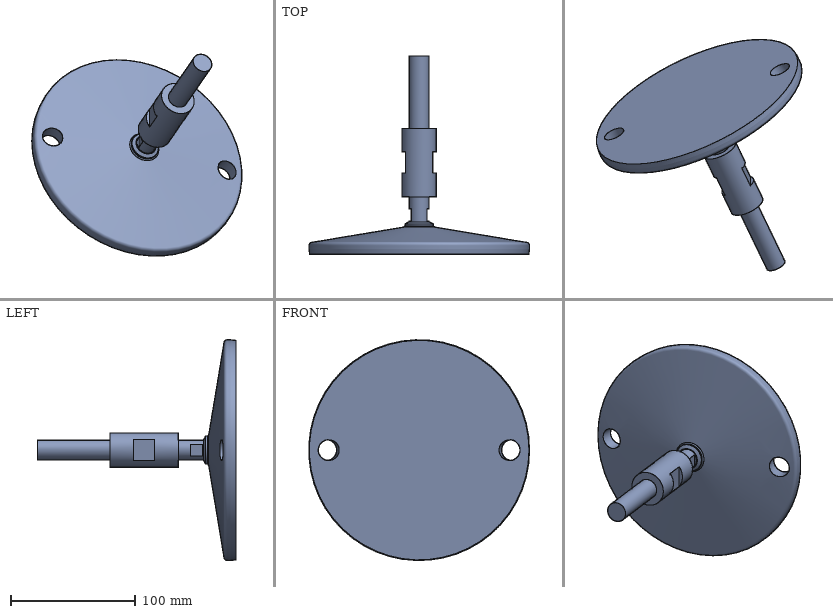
import cadquery as cq
import math

TOTAL_LENGTH = 160.0

PLATE_RADIUS = 89.0
UNDERSIDE_RADIUS = 88.5
TAPER_TOP = 4.3
RIM_TOP = 7.1
RIM_FILLET = 2.7
CONE_TOP_RADIUS = 12.5
CONE_TOP = 22.0

COLLAR_RADIUS = 11.4
COLLAR_BASE = 23.0
COLLAR_SHOULDER = 24.5
COLLAR_TOP = 26.2
COLLAR_TOP_RADIUS = 8.5

HOLE_DIAMETER = 16.5
HOLE_OFFSET = 72.8
HOLE_OVERRUN = 17.8

STEM_DIAMETER = 16.0
SLEEVE_DIAMETER = 28.0
SLEEVE_START = 46.5
SLEEVE_END = 101.6
SLEEVE_FLAT_START = 65.7
SLEEVE_FLAT_END = 82.6
SLEEVE_ACROSS_FLATS = 22.2
STEM_FLAT_START = 27.0
STEM_FLAT_END = 36.7
STEM_ACROSS_FLATS = 13.0

fillet_centre_radius = PLATE_RADIUS - RIM_FILLET
cone_run = fillet_centre_radius - CONE_TOP_RADIUS
cone_rise = CONE_TOP - RIM_TOP
CONE_ANGLE = math.atan2(cone_rise, cone_run) - math.asin(RIM_FILLET / math.hypot(cone_run, cone_rise))


def on_rim_fillet(angle):
    """Point of the rim fillet, as (radius, height), at an angle from the radial direction."""
    return (
        fillet_centre_radius + RIM_FILLET * math.cos(angle),
        RIM_TOP + RIM_FILLET * math.sin(angle),
    )


def cylinder(diameter, start, end):
    """Solid cylinder on the Y axis between two heights."""
    base = cq.Workplane("XZ", origin=(0, start, 0))
    return base.circle(diameter / 2).extrude(start - end)


def cut_two_flats(body, diameter, across_flats, start, end):
    """Cut a pair of opposite flats, facing -X and +X, into a round body."""
    length = end - start
    middle = (start + end) / 2
    tool = cq.Workplane("XY").box(diameter, length, 2 * diameter)
    for side in (-1, 1):
        body = body.cut(tool.translate((side * (across_flats + diameter) / 2, middle, 0)))
    return body


def fixing_hole(side):
    """Cutter for one fixing hole; it leans outward with the normal of the cone."""
    direction = cq.Vector(side * math.sin(CONE_ANGLE), math.cos(CONE_ANGLE), 0)
    start = cq.Vector(side * HOLE_OFFSET, 0, 0) - direction * HOLE_OVERRUN
    length = CONE_TOP + 2 * HOLE_OVERRUN
    return cq.Solid.makeCylinder(HOLE_DIAMETER / 2, length, start, direction)


def make_foot():
    """Conical plate with its collar and two fixing holes."""
    fillet_end_angle = math.pi / 2 - CONE_ANGLE
    foot = (
        cq.Workplane("XY")
        .lineTo(UNDERSIDE_RADIUS, 0)
        .lineTo(PLATE_RADIUS, TAPER_TOP)
        .lineTo(PLATE_RADIUS, RIM_TOP)
        .threePointArc(on_rim_fillet(fillet_end_angle / 2), on_rim_fillet(fillet_end_angle))
        .lineTo(CONE_TOP_RADIUS, CONE_TOP)
        .lineTo(COLLAR_RADIUS, COLLAR_BASE)
        .lineTo(COLLAR_RADIUS, COLLAR_SHOULDER)
        .lineTo(COLLAR_TOP_RADIUS, COLLAR_TOP)
        .lineTo(0, COLLAR_TOP)
        .close()
        .revolve(360, (0, 0, 0), (0, 1, 0))
    )
    for side in (-1, 1):
        foot = foot.cut(cq.Workplane(fixing_hole(side)))
    return foot


def make_spindle():
    """Stem standing on the collar, with a thicker sleeve; both carry spanner flats."""
    stem = cylinder(STEM_DIAMETER, COLLAR_TOP, TOTAL_LENGTH)
    stem = cut_two_flats(stem, STEM_DIAMETER, STEM_ACROSS_FLATS, STEM_FLAT_START, STEM_FLAT_END)
    sleeve = cylinder(SLEEVE_DIAMETER, SLEEVE_START, SLEEVE_END)
    sleeve = cut_two_flats(
        sleeve, SLEEVE_DIAMETER, SLEEVE_ACROSS_FLATS, SLEEVE_FLAT_START, SLEEVE_FLAT_END
    )
    return stem.union(sleeve)


foot = make_foot()
spindle = make_spindle()

result = cq.Compound.makeCompound([foot.solids().val(), spindle.solids().val()])